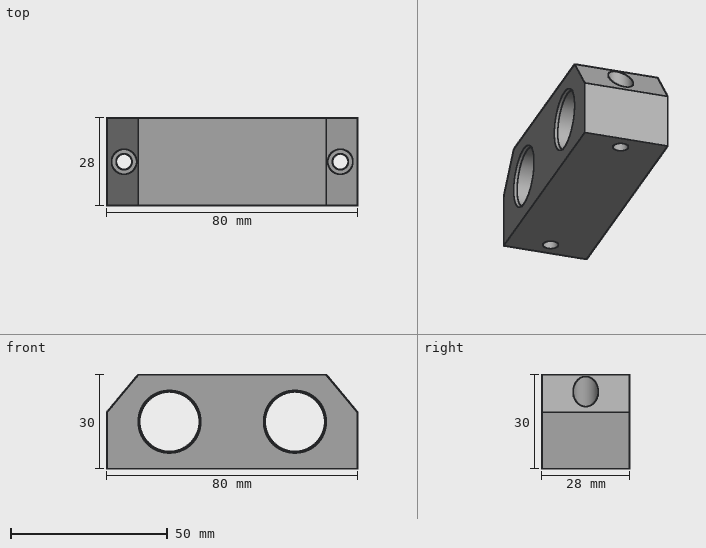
import cadquery as cq

length = 80.0
width = 28.0
height = 30.0
shoulder_run = 10.0
shoulder_drop = 12.0

bore_spacing = length / 2
bore_height = height / 2
bore_mouth_diameter = 20.0
bore_chamfer_inset = 0.5
bore_chamfer_depth = 2 * bore_chamfer_inset

screw_spacing = 69.0
screw_hole_diameter = 5.0
screw_head_diameter = 8.0
screw_seat_height = height / 2


def sloped_block():
    """Block centred on X and Y, resting on Z = 0, with both upper ends sloped."""
    half_length = length / 2
    half_top = half_length - shoulder_run
    side_height = height - shoulder_drop
    return (
        cq.Workplane("XZ")
        .moveTo(-half_length, 0)
        .lineTo(half_length, 0)
        .lineTo(half_length, side_height)
        .lineTo(half_top, height)
        .lineTo(-half_top, height)
        .lineTo(-half_length, side_height)
        .close()
        .extrude(width / 2, both=True)
    )


def bore_cutter(x):
    """Cutter for a through bore along Y, flaring to the mouth diameter at both faces."""
    mouth_radius = bore_mouth_diameter / 2
    bore_radius = mouth_radius - bore_chamfer_inset
    half_width = width / 2
    straight_end = half_width - bore_chamfer_depth
    return (
        cq.Workplane("XY")
        .moveTo(0, -half_width)
        .lineTo(mouth_radius, -half_width)
        .lineTo(bore_radius, -straight_end)
        .lineTo(bore_radius, straight_end)
        .lineTo(mouth_radius, half_width)
        .lineTo(0, half_width)
        .close()
        .revolve(360, (0, 0, 0), (0, 1, 0))
        .translate((x, 0, bore_height))
    )


def screw_cutter(x):
    """Cutter for a vertical through hole with a flat-bottomed head recess open at the top."""
    shank = cq.Workplane("XY").circle(screw_hole_diameter / 2).extrude(height)
    head = (
        cq.Workplane("XY", origin=(0, 0, screw_seat_height))
        .circle(screw_head_diameter / 2)
        .extrude(height - screw_seat_height)
    )
    return shank.union(head).translate((x, 0, 0))


result = sloped_block()
for side in (-1, 1):
    result = result.cut(bore_cutter(side * bore_spacing / 2))
    result = result.cut(screw_cutter(side * screw_spacing / 2))